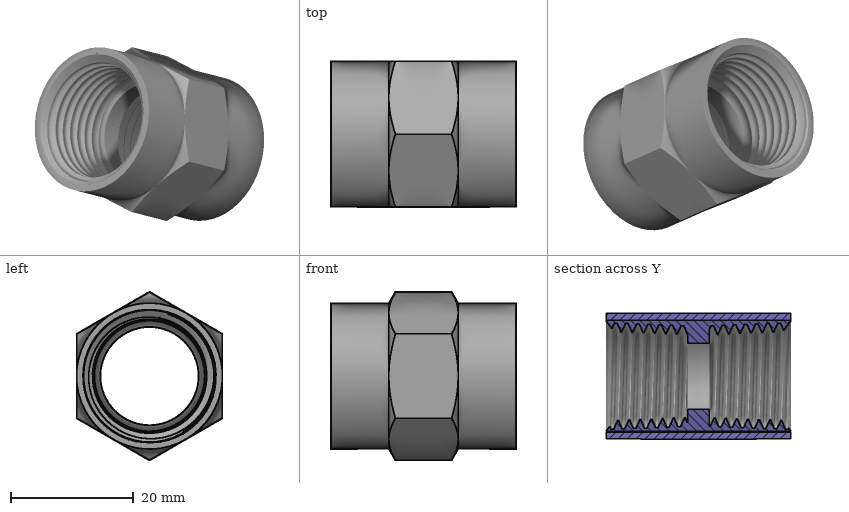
import cadquery as cq
import math

length = 30.18
tube_diameter = 23.8125
hex_across_flats = tube_diameter
hex_length = 11.3
hex_chamfer_angle = 30.0

sleeve_diameter = 21.72
mouth_diameter = 21.5
mouth_chamfer_angle = 45.0
middle_bore_diameter = 16.0

thread_pitch = 25.4 / 14
thread_depth = 13.3
taper_slope = 1 / 32
crest_radius = 9.38
root_flat = 0.35
crest_flat = 0.13
flank_angle = 30.0
groove_turns = 9
groove_overlap = 0.05
groove_phase = 190.0
groove_height = (thread_pitch - root_flat - crest_flat) / (2 * math.tan(math.radians(flank_angle)))
root_radius = crest_radius + groove_height


def make_shell():
    """Round tube with a chamfered hexagon around its middle, corners up and down."""
    tube = cq.Workplane("YZ").circle(tube_diameter / 2).extrude(length / 2, both=True)
    corner_radius = hex_across_flats / 2 / math.cos(math.radians(30))
    hexagon = (
        cq.Workplane("YZ")
        .transformed(rotate=(0, 0, 90))
        .polygon(6, 2 * corner_radius)
        .extrude(hex_length / 2, both=True)
    )
    blank_radius = corner_radius + 1.0
    cone_length = (blank_radius - tube_diameter / 2) * math.tan(math.radians(hex_chamfer_angle))
    blank = (
        cq.Workplane("XY")
        .moveTo(-hex_length / 2, 0)
        .lineTo(-hex_length / 2, tube_diameter / 2)
        .lineTo(-hex_length / 2 + cone_length, blank_radius)
        .lineTo(hex_length / 2 - cone_length, blank_radius)
        .lineTo(hex_length / 2, tube_diameter / 2)
        .lineTo(hex_length / 2, 0)
        .close()
        .revolve(360, (0, 0, 0), (1, 0, 0))
    )
    bore = cq.Workplane("YZ").circle(sleeve_diameter / 2).extrude(length / 2, both=True)
    return tube.union(hexagon.intersect(blank)).cut(bore)


def make_groove_turn(turn):
    """One full turn of the tapered helical groove about +Z, turn 0 ending at the mouth at Z = 0."""
    start_height = (turn - 1) * thread_pitch
    outer_radius = root_radius - start_height * taper_slope
    inner_radius = outer_radius - groove_height - groove_overlap
    half_outer = root_flat / 2
    half_inner = half_outer + (groove_height + groove_overlap) * math.tan(math.radians(flank_angle))
    taper_angle = -math.degrees(math.atan(taper_slope))
    corners = [
        (outer_radius, -half_outer),
        (outer_radius, half_outer),
        (inner_radius, half_inner),
        (inner_radius, -half_inner),
    ]
    helices = [
        cq.Wire.makeHelix(thread_pitch, thread_pitch, radius, angle=taper_angle).translate(
            cq.Vector(0, 0, start_height + offset)
        )
        for radius, offset in corners
    ]
    faces = [cq.Face.makeRuledSurface(helices[i - 1], helices[i]) for i in range(len(helices))]
    for end in (0, 1):
        cap_corners = [helix.positionAt(end) for helix in helices]
        faces.append(cq.Face.makeFromWires(cq.Wire.makePolygon(cap_corners, close=True)))
    groove = cq.Solid.makeSolid(cq.Shell.makeShell(faces))
    return cq.Workplane(groove).rotate((0, 0, 0), (0, 0, 1), groove_phase)


def make_threaded_end():
    """Tube along +Z with a chamfered mouth at Z = 0 and a tapered thread along its whole bore."""
    bore_end_radius = crest_radius - thread_depth * taper_slope
    chamfer_depth = (mouth_diameter / 2 - crest_radius) * math.tan(math.radians(mouth_chamfer_angle))
    threaded_end = (
        cq.Workplane("XZ")
        .moveTo(sleeve_diameter / 2, 0)
        .lineTo(mouth_diameter / 2, 0)
        .lineTo(crest_radius - chamfer_depth * taper_slope, chamfer_depth)
        .lineTo(bore_end_radius, thread_depth)
        .lineTo(sleeve_diameter / 2, thread_depth)
        .close()
        .revolve(360, (0, 0, 0), (0, 1, 0))
    )
    for turn in range(groove_turns):
        threaded_end = threaded_end.cut(make_groove_turn(turn))
    return threaded_end


def make_sleeve():
    """Sleeve flush with the shell: a ring with a narrower bore between two equal threaded ends."""
    sleeve = (
        cq.Workplane("YZ")
        .circle(sleeve_diameter / 2)
        .circle(middle_bore_diameter / 2)
        .extrude(length / 2 - thread_depth, both=True)
    )
    threaded_end = make_threaded_end().rotate((0, 0, 0), (0, 1, 0), 90).translate((-length / 2, 0, 0))
    for turn in (0, 180):
        sleeve = sleeve.union(threaded_end.rotate((0, 0, 0), (0, 0, 1), turn))
    return sleeve


shell = make_shell()
sleeve = make_sleeve()
result = cq.Compound.makeCompound([shell.val(), sleeve.val()])